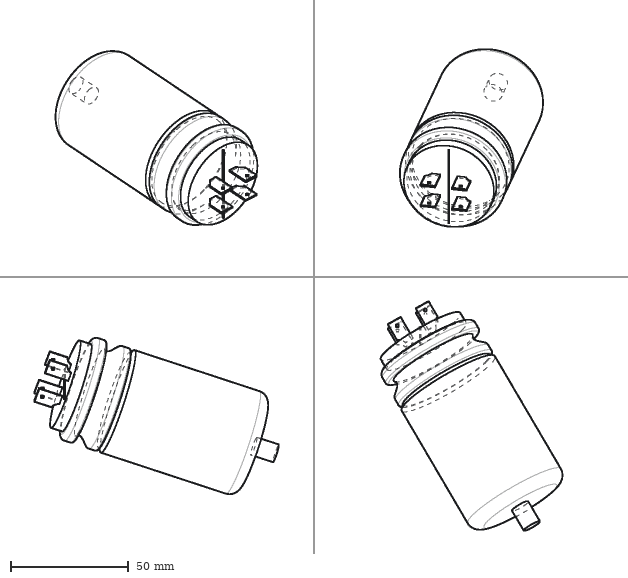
import cadquery as cq
import math

can_radius = 23.0
base_fillet = 5.1
barrel_end = 61.3

bead_start = 63.1
bead_flat_end = 66.7
bead_edge_radius = 1.0

groove_floor_radius = 18.9
groove_floor_x = 72.7
groove_end_radius = 19.5
slope_top = (68.4, 22.2)
slope_foot = (70.9, 19.5)

rim_start = 74.1
rim_end = 80.0
rim_back_radius = 1.0
rim_front_radius = 2.2

lid_radius = 19.6
lid_face = 84.9
rib_height = 0.5
rib_length = 35.5
rib_thickness = 0.4

stud_radius = 4.0
stud_length = 10.0

tab_tip = 95.5
tab_thickness = 0.7
tab_level = 5.0
tab_inner_y = 3.7
tab_outer_y = 10.0
tab_root_y = 7.5
tab_shoulder = 2.6
tab_curve_radius = 4.2
tab_tip_chamfer = 0.2
tab_hole_diameter = 1.3
tab_hole_from_tip = 2.6

embed = 1.1

DIAGONAL = math.sqrt(0.5)


def corner_middle(x_center, r_center, radius, side):
    """Middle point of a quarter round facing outward; side is -1 toward the base, +1 toward the lid."""
    return (x_center + side * radius * DIAGONAL, r_center + radius * DIAGONAL)


def make_body():
    """Revolve the half profile of stud, can, bead, groove, rim and lid about X."""
    base_center = (base_fillet, can_radius - base_fillet)
    bead_center = (bead_start + bead_edge_radius, can_radius - bead_edge_radius)
    rim_back_center = (rim_start + rim_back_radius, can_radius - rim_back_radius)
    rim_front_center = (rim_end - rim_front_radius, can_radius - rim_front_radius)
    notch_radius = can_radius - (bead_start - barrel_end)
    groove_points = [
        slope_top,
        slope_foot,
        (groove_floor_x, groove_floor_radius),
        (rim_start, groove_end_radius),
    ]

    profile = (
        cq.Workplane("XY")
        .moveTo(-stud_length, 0)
        .lineTo(-stud_length, stud_radius)
        .lineTo(0, stud_radius)
        .lineTo(0, base_center[1])
        .threePointArc(corner_middle(*base_center, base_fillet, -1), (base_center[0], can_radius))
        .lineTo(barrel_end, can_radius)
        .lineTo(bead_start, notch_radius)
        .lineTo(bead_start, bead_center[1])
        .threePointArc(corner_middle(*bead_center, bead_edge_radius, -1), (bead_center[0], can_radius))
        .lineTo(bead_flat_end, can_radius)
        .spline(groove_points, tangents=[(1, 0), (1, 1)], includeCurrent=True)
        .lineTo(rim_start, rim_back_center[1])
        .threePointArc(corner_middle(*rim_back_center, rim_back_radius, -1), (rim_back_center[0], can_radius))
        .lineTo(rim_front_center[0], can_radius)
        .threePointArc(corner_middle(*rim_front_center, rim_front_radius, 1), (rim_end, rim_front_center[1]))
        .lineTo(rim_end, lid_radius)
        .lineTo(lid_face, lid_radius)
        .lineTo(lid_face, 0)
        .close()
    )
    return profile.revolve(360, (0, 0, 0), (1, 0, 0))


def make_lid_rib():
    """Thin raised rib standing across the lid face along Z."""
    rib_depth = rib_height + embed
    return (
        cq.Workplane("XY")
        .box(rib_depth, rib_thickness, rib_length, centered=(False, True, True))
        .translate((lid_face - embed, 0, 0))
    )


def make_tab():
    """Terminal tab in the +Y +Z quadrant, chamfered on the outward side of its tip."""
    root = lid_face - embed
    shoulder_x = lid_face + tab_shoulder
    plate = (
        cq.Workplane("XY", origin=(0, 0, tab_level - tab_thickness / 2))
        .moveTo(root, tab_inner_y)
        .lineTo(tab_tip, tab_inner_y)
        .lineTo(tab_tip, tab_outer_y)
        .lineTo(shoulder_x, tab_outer_y)
        .radiusArc((lid_face, tab_root_y), tab_curve_radius)
        .lineTo(root, tab_root_y)
        .close()
        .extrude(tab_thickness)
    )
    plate = plate.faces(">X").edges(">Z").chamfer(tab_tip_chamfer)
    hole = (
        cq.Workplane("XY")
        .center(tab_tip - tab_hole_from_tip, (tab_inner_y + tab_outer_y) / 2)
        .circle(tab_hole_diameter / 2)
        .extrude(tab_level + tab_thickness)
    )
    return plate.cut(hole)


result = make_body().union(make_lid_rib())
upper_tab = make_tab()
for tab in (upper_tab, upper_tab.mirror("XZ")):
    result = result.union(tab).union(tab.mirror("XY"))